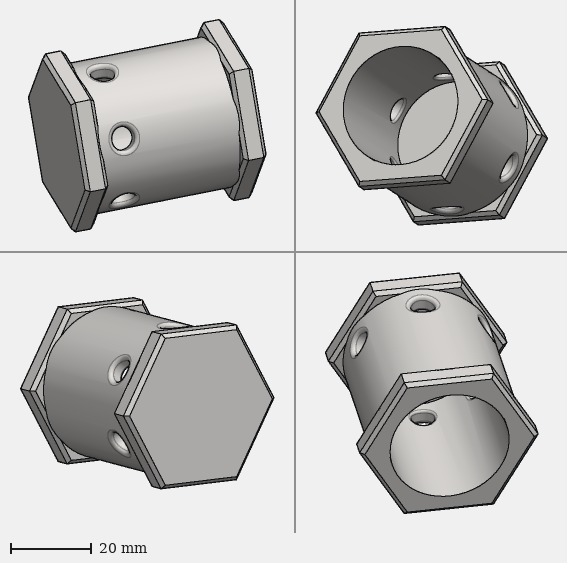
import cadquery as cq
import math

length = 47.5
across_flats = 39.0
across_corners = across_flats / math.cos(math.pi / 6)
flange_thickness = 6.0
flange_chamfer = 1.0
barrel_radius = 19.0

bore_radius = 15.0
end_wall = flange_thickness

vent_count = 6
vent_radius = 3.0
vent_inset = 12.0
outer_mouth_fillet = 1.0
inner_mouth_fillet = 0.6

closed_end = -length / 2
open_end = length / 2
vent_y = closed_end + vent_inset


def y_cylinder(radius, y_start, y_end):
    """Solid cylinder on the Y axis between two Y positions."""
    plane = cq.Workplane("XZ", origin=(0, y_start, 0))
    return plane.circle(radius).extrude(y_start - y_end)


def hex_flange(y_start):
    """Hexagonal flange with corners on the X axis and both rims chamfered."""
    return (
        cq.Workplane("XZ", origin=(0, y_start, 0))
        .polygon(6, across_corners)
        .extrude(-flange_thickness)
        .faces("<Y or >Y")
        .chamfer(flange_chamfer)
    )


def vent_cutter(angle):
    """Radial cylinder from the axis outward, turned about Y by an angle from +Z."""
    cutter = cq.Workplane("XY", origin=(0, vent_y, 0)).circle(vent_radius).extrude(across_corners / 2)
    return cutter.rotate((0, 0, 0), (0, 1, 0), angle)


def round_vent_mouths(body, wall_radius, fillet_radius):
    """Fillet the edges where the vents break through a wall of the given radius."""

    def is_mouth(edge):
        start = edge.startPoint()
        on_wall = abs(math.hypot(start.x, start.z) - wall_radius) < 0.005
        near_vents = abs(edge.Center().y - vent_y) < 2 * vent_radius
        return on_wall and near_vents and edge.geomType() != "LINE"

    mouths = [edge for edge in body.edges().vals() if is_mouth(edge)]
    return body.newObject(mouths).fillet(fillet_radius)


barrel = y_cylinder(barrel_radius, closed_end + flange_chamfer, open_end - flange_chamfer)
bore = y_cylinder(bore_radius, closed_end + end_wall, open_end)
barrel = barrel.cut(bore)

for i in range(vent_count):
    barrel = barrel.cut(vent_cutter(i * 360 / vent_count))
barrel = round_vent_mouths(barrel, barrel_radius, outer_mouth_fillet)
barrel = round_vent_mouths(barrel, bore_radius, inner_mouth_fillet)

flanges = hex_flange(closed_end).union(hex_flange(open_end - flange_thickness))
result = barrel.union(flanges).cut(bore)